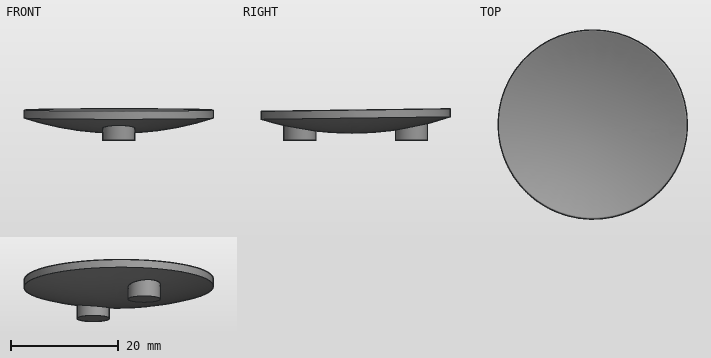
import cadquery as cq

dish_diameter = 35.2
shell_thickness = 1.5
outer_sphere_radius = 56.32
inner_sphere_radius = outer_sphere_radius - shell_thickness
sphere_offset_y = -0.7
dish_bottom_z = 1.35
sphere_center_z = dish_bottom_z + outer_sphere_radius
rim_fillet = 0.2

foot_diameter = 6.02
foot_spacing = 20.75

trim_height = 10.55


def sphere(radius):
    return cq.Workplane("XY").sphere(radius).translate((0, sphere_offset_y, sphere_center_z))


def upright_cylinder(diameter):
    return cq.Workplane("XY").circle(diameter / 2).extrude(trim_height)


def make_dish():
    blank = upright_cylinder(dish_diameter).intersect(sphere(outer_sphere_radius))
    dish = blank.cut(sphere(inner_sphere_radius))
    top_rim = dish.edges(">Z")
    return top_rim.fillet(rim_fillet)


def make_foot(center_y):
    foot = upright_cylinder(foot_diameter).translate((0, center_y, 0))
    return foot.cut(sphere(outer_sphere_radius - shell_thickness / 2))


result = make_dish()
for side in (-1, 1):
    result = result.union(make_foot(side * foot_spacing / 2))